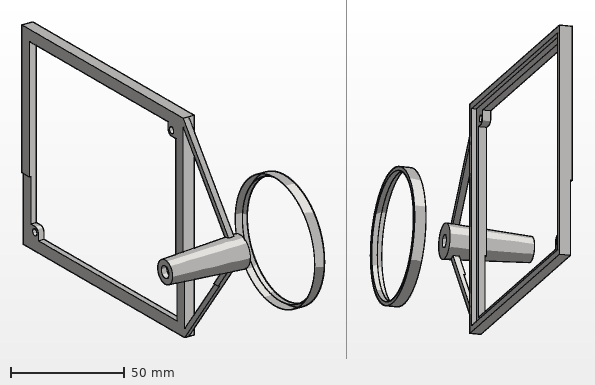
import cadquery as cq


OVERALL_LENGTH = 192.0

FRAME_WIDTH = 125.5
FRAME_HEIGHT = 106.0
BORDER = 6.0
FRAME_BACK = 40.1
FRAME_THICKNESS = 6.0
FRAME_FRONT = FRAME_BACK - FRAME_THICKNESS

REBATE_DEPTH = 2.1
REBATE_RIM = 2.9

STEP_HEIGHT = 34.7
STEP_DEPTH = 0.8

BOSS_DIAMETER = 5.8
BOSS_HOLE_DIAMETER = 3.3
BOSS_INSET = 3.0

RING_OUTER_DIAMETER = 62.0
RING_INNER_DIAMETER = 58.2
RING_THICKNESS = 5.4
RING_BACK = 64.3
RING_WALL = 0.2
RING_INNER_LIP = RING_THICKNESS / 2

AXIS_X = OVERALL_LENGTH - RING_OUTER_DIAMETER / 2
AXIS_Z = FRAME_HEIGHT / 2
HUB_BACK_DIAMETER = 16.3
HUB_FRONT_DIAMETER = 11.7
HUB_BORE_DIAMETER = 5.8
HUB_MOUTH_DIAMETER = 6.0
HUB_MOUTH_DEPTH = 2.9

ARM_THICKNESS = FRAME_THICKNESS / 2
ARM_HEIGHT = 4.5
ARM_END_OFFSET = 7.7


def cylinder(x, z, diameter, front, back):
    """Cylinder along Y between two depths."""
    plane = cq.Workplane("XZ", origin=(x, front, z))
    return plane.circle(diameter / 2).extrude(front - back)


def block(x_min, x_max, front, back, z_min, z_max):
    """Box given by its limits."""
    size = (x_max - x_min, back - front, z_max - z_min)
    return cq.Workplane("XY").box(*size, centered=False).translate((x_min, front, z_min))


def make_border():
    outer = block(0, FRAME_WIDTH, FRAME_FRONT, FRAME_BACK, 0, FRAME_HEIGHT)
    opening = block(
        BORDER, FRAME_WIDTH - BORDER, FRAME_FRONT, FRAME_BACK, BORDER, FRAME_HEIGHT - BORDER
    )
    return outer.cut(opening)


def make_lower_left_boss():
    """Square pad in the inner corner, rounded about the hole axis."""
    center = BORDER + BOSS_INSET
    pad_end = center + BOSS_DIAMETER / 2
    pad = block(BORDER, pad_end, FRAME_FRONT, FRAME_BACK, BORDER, pad_end)
    return pad.edges("|Y and >X and >Z").fillet(BOSS_DIAMETER / 2 )


def make_upper_arm():
    """Slanted bar that ends at the hub axis, flush with the frame's front face."""
    end_z = AXIS_Z + ARM_END_OFFSET
    outline = [
        (FRAME_WIDTH, FRAME_HEIGHT),
        (AXIS_X, end_z),
        (AXIS_X, end_z - ARM_HEIGHT),
        (FRAME_WIDTH, FRAME_HEIGHT - ARM_HEIGHT),
    ]
    plane = cq.Workplane("XZ", origin=(0, FRAME_FRONT, 0))
    return plane.polyline(outline).close().extrude(-ARM_THICKNESS)


def make_hub():
    front = cq.Workplane("XZ", origin=(AXIS_X, 0, AXIS_Z)).circle(HUB_FRONT_DIAMETER / 2)
    return front.workplane(offset=-FRAME_BACK).circle(HUB_BACK_DIAMETER / 2).loft()


def make_frame():
    lower_boss = make_lower_left_boss()
    upper_boss = lower_boss.rotate(
        (FRAME_WIDTH / 2, 0, FRAME_HEIGHT / 2), (FRAME_WIDTH / 2, 1, FRAME_HEIGHT / 2), 180
    )
    upper_arm = make_upper_arm()
    lower_arm = upper_arm.mirror("XY", (0, 0, AXIS_Z))
    frame = make_border().union(lower_boss).union(upper_boss)
    frame = frame.union(make_hub()).union(upper_arm).union(lower_arm)

    hole_offset = BORDER + BOSS_INSET
    hole_places = [
        (hole_offset, hole_offset),
        (FRAME_WIDTH - hole_offset, FRAME_HEIGHT - hole_offset),
    ]
    for x, z in hole_places:
        frame = frame.cut(cylinder(x, z, BOSS_HOLE_DIAMETER, FRAME_FRONT, FRAME_BACK))
    frame = frame.cut(cylinder(AXIS_X, AXIS_Z, HUB_BORE_DIAMETER, 0, FRAME_BACK))
    frame = frame.cut(cylinder(AXIS_X, AXIS_Z, HUB_MOUTH_DIAMETER, 0, HUB_MOUTH_DEPTH))

    rebate = block(
        REBATE_RIM, FRAME_WIDTH - REBATE_RIM,
        FRAME_BACK - REBATE_DEPTH, FRAME_BACK,
        REBATE_RIM, FRAME_HEIGHT - REBATE_RIM,
    )
    frame = frame.cut(rebate)

    step = block(0, AXIS_X, FRAME_FRONT, FRAME_FRONT + STEP_DEPTH, 0, STEP_HEIGHT)
    return frame.cut(step)


def make_ring():
    """Channel section with a full-length outer wall and a shorter inner wall."""
    outer_radius = RING_OUTER_DIAMETER / 2
    inner_radius = RING_INNER_DIAMETER / 2
    front = RING_BACK - RING_THICKNESS
    lip_front = RING_BACK - RING_INNER_LIP
    floor = RING_BACK - RING_WALL
    section = [
        (inner_radius, RING_BACK),
        (outer_radius, RING_BACK),
        (outer_radius, front),
        (outer_radius - RING_WALL, front),
        (outer_radius - RING_WALL, floor),
        (inner_radius + RING_WALL, floor),
        (inner_radius + RING_WALL, lip_front),
        (inner_radius, lip_front),
    ]
    ring = cq.Workplane("XY").polyline(section).close().revolve(360, (0, 0, 0), (0, 1, 0))
    return ring.translate((AXIS_X, 0, AXIS_Z))


frame = make_frame()
ring = make_ring()
result = cq.Compound.makeCompound([frame.val(), ring.val()])